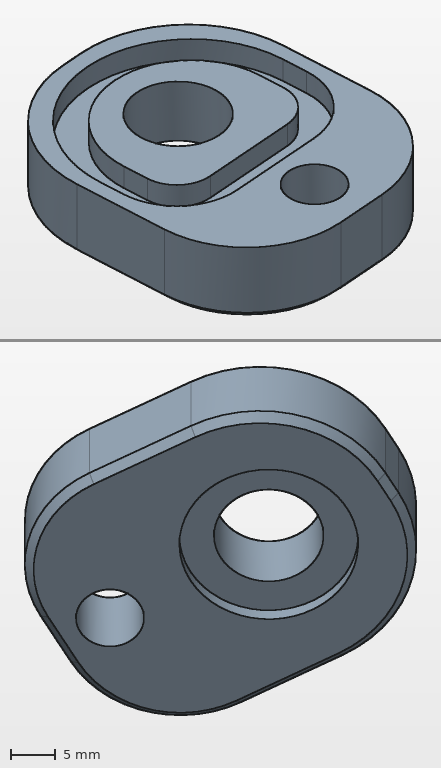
import cadquery as cq

length = 43.0
width = 35.0
height = 10.0
left_radius = 16.0
right_radius = 14.0
bottom_chamfer = 1.0

groove_outer_width = 31.0
groove_outer_length = 28.0
groove_outer_corner = 9.0
groove_band = 4.0
groove_left_gap = 2.25
groove_depth = 3.0

bore_diameter = 12.25
bore_x = -5.75
counterbore_diameter = 20.0
counterbore_depth = 1.8
pin_hole_diameter = 7.6
pin_hole_x = 14.55


def rounded_block(x_min, block_length, block_width, block_height, start_radius, end_radius):
    """Block standing on Z = 0 with separate corner radii at its -X and +X ends."""
    half_width = block_width / 2
    x_max = x_min + block_length
    diagonal = 0.5 ** 0.5
    start_x = x_min + start_radius
    start_y = half_width - start_radius
    end_x = x_max - end_radius
    end_y = half_width - end_radius
    start_mid_x = start_x - start_radius * diagonal
    start_mid_y = start_y + start_radius * diagonal
    end_mid_x = end_x + end_radius * diagonal
    end_mid_y = end_y + end_radius * diagonal

    outline = (
        cq.Workplane("XY")
        .moveTo(start_x, -half_width)
        .lineTo(end_x, -half_width)
        .threePointArc((end_mid_x, -end_mid_y), (x_max, -end_y))
        .lineTo(x_max, end_y)
        .threePointArc((end_mid_x, end_mid_y), (end_x, half_width))
        .lineTo(start_x, half_width)
        .threePointArc((start_mid_x, start_mid_y), (x_min, start_y))
    )
    if start_y > 0:
        outline = outline.lineTo(x_min, -start_y)
    outline = outline.threePointArc((start_mid_x, -start_mid_y), (start_x, -half_width))
    return outline.close().extrude(block_height)


def d_block(inset):
    """Block of groove depth with a semicircular -X end, inset from the groove's outer wall."""
    block_width = groove_outer_width - 2 * inset
    return rounded_block(
        -length / 2 + groove_left_gap + inset,
        groove_outer_length - 2 * inset,
        block_width,
        groove_depth,
        block_width / 2,
        groove_outer_corner - inset,
    )


def cylinder(x, diameter, depth):
    """Vertical cylinder rising from Z = 0 on the part's centre line."""
    return cq.Workplane("XY").center(x, 0).circle(diameter / 2).extrude(depth)


body = rounded_block(-length / 2, length, width, height, left_radius, right_radius)
body = body.faces("<Z").chamfer(bottom_chamfer)

groove = d_block(0).cut(d_block(groove_band))
body = body.cut(groove.translate((0, 0, height - groove_depth)))

body = body.cut(cylinder(bore_x, bore_diameter, height))
body = body.cut(cylinder(bore_x, counterbore_diameter, counterbore_depth))
result = body.cut(cylinder(pin_hole_x, pin_hole_diameter, height))